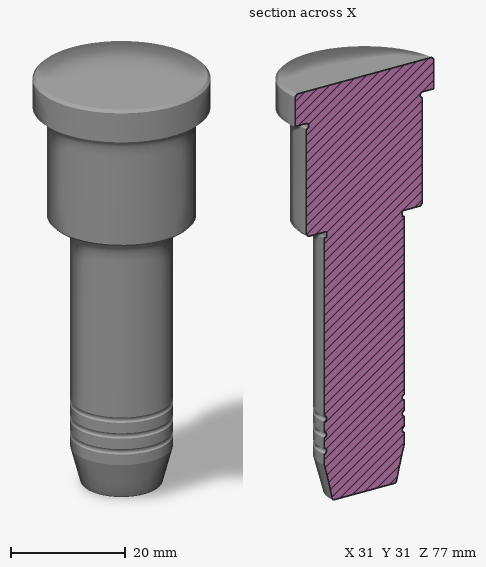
import cadquery as cq
import math

total_length = 77.0
head_height = 6.0
collar_height = 21.0
relief_height = 1.0
tip_height = 7.0

head_radius = 31.0 / 2
collar_radius = 26.0 / 2
shaft_radius = 18.0 / 2

edge_chamfer = 0.5
tip_fillet = 0.5
relief_depth = 0.5
groove_radius = 0.5
groove_width = 2 * groove_radius
groove_count = 3
groove_pitch = 3.0
lowest_groove_above_tip = 2.0
tip_half_angle = 15.0

head_bottom = total_length - head_height
collar_bottom = head_bottom - collar_height


def make_head():
    head = cq.Workplane("XY").workplane(offset=head_bottom).circle(head_radius).extrude(head_height)
    return head.faces(">Z").chamfer(edge_chamfer)


def make_collar():
    collar = cq.Workplane("XY").workplane(offset=collar_bottom).circle(collar_radius).extrude(collar_height)
    return collar.faces("<Z").chamfer(edge_chamfer)


def make_shaft():
    """Shaft with a conical lead-in tip whose end edge is rounded."""
    tip_end_radius = shaft_radius - tip_height * math.tan(math.radians(tip_half_angle))
    profile = (
        cq.Workplane("XZ")
        .lineTo(tip_end_radius, 0)
        .lineTo(shaft_radius, tip_height)
        .lineTo(shaft_radius, collar_bottom)
        .lineTo(0, collar_bottom)
        .close()
    )
    shaft = profile.revolve(360, (0, 0), (0, 1))
    return shaft.faces("<Z").fillet(tip_fillet)


def round_groove(surface_radius, top):
    """Cutter for a half-round groove in a cylinder, starting at the given level and going down."""
    profile = (
        cq.Workplane("XZ")
        .moveTo(surface_radius, top)
        .threePointArc(
            (surface_radius - groove_radius, top - groove_radius),
            (surface_radius, top - groove_width),
        )
        .close()
    )
    return profile.revolve(360, (0, 0), (0, 1))


def square_relief():
    """Cutter for the square relief on the shaft just below the collar."""
    ring = cq.Workplane("XY").workplane(offset=collar_bottom - relief_height)
    return ring.circle(shaft_radius).circle(shaft_radius - relief_depth).extrude(relief_height)


result = make_head().union(make_collar()).union(make_shaft())
result = result.cut(square_relief())

result = result.cut(round_groove(collar_radius, head_bottom))

lowest_groove_top = tip_height + lowest_groove_above_tip + groove_width
for index in range(groove_count):
    groove_top = lowest_groove_top + index * groove_pitch
    result = result.cut(round_groove(shaft_radius, groove_top))